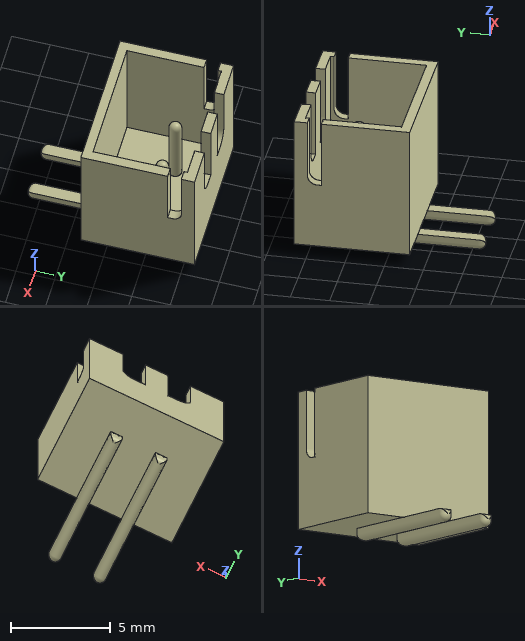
import cadquery as cq

housing_width = 7.5
housing_depth = 5.9
housing_height = 6.99
wall = 0.5
slot_depth = housing_height / 2
slot_floor_z = housing_height - slot_depth

side_slot_width = 0.71
side_slot_radius = 0.5
side_slot_setback = 0.69

tongue_width = 1.26
back_slot_width = 1.25
back_slot_radius = 0.735

pin_diameter = 0.65
pin_radius = pin_diameter / 2
pin_pitch = 2.49
pin_y = housing_depth - 2.34
pin_dome_center_z = 4.185
leg_axis_z = -pin_radius
pin_tip_y = housing_depth - 9.3
tip_center_y = pin_tip_y + pin_radius


def box_between(low, high):
    """Axis-aligned box between two opposite corners."""
    size = [b - a for a, b in zip(low, high)]
    return cq.Workplane("XY").box(*size, centered=False).translate(low)


def slot_profile(plane, sharp_edge, rounded_edge, radius):
    """Open-topped slot outline with one sharp and one rounded bottom corner."""
    outward = 1 if rounded_edge > sharp_edge else -1
    arc_start = rounded_edge - outward * radius
    return (
        cq.Workplane(plane)
        .moveTo(sharp_edge, housing_height)
        .lineTo(sharp_edge, slot_floor_z)
        .lineTo(arc_start, slot_floor_z)
        .radiusArc((rounded_edge, slot_floor_z + radius), -outward * radius)
        .lineTo(rounded_edge, housing_height)
        .close()
    )


def make_side_slots():
    """One cut across the full width that opens both side walls."""
    back_edge = housing_depth - side_slot_setback
    front_edge = back_edge - side_slot_width
    profile = slot_profile("YZ", front_edge, back_edge, side_slot_radius)
    return profile.extrude(housing_width / 2, both=True)


def make_back_slot(side):
    """Slot through the back wall; side is -1 or 1 along X."""
    inner_edge = side * tongue_width / 2
    outer_edge = inner_edge + side * back_slot_width
    profile = slot_profile("XZ", inner_edge, outer_edge, back_slot_radius)
    return profile.extrude(wall).translate((0, housing_depth, 0))


def make_pin(x):
    """Round upright post joined to a U-section leg with rounded heel and tip."""
    post = cq.Workplane("XY", origin=(x, pin_y, 0)).circle(pin_radius)
    post = post.extrude(pin_dome_center_z)
    dome = cq.Workplane("XY").sphere(pin_radius).translate((x, pin_y, pin_dome_center_z))

    heel_y = pin_y + pin_radius
    leg = cq.Workplane("XZ", origin=(x, heel_y, leg_axis_z)).circle(pin_radius)
    leg = leg.extrude(heel_y - tip_center_y)
    leg_top = box_between(
        (x - pin_radius, tip_center_y, leg_axis_z),
        (x + pin_radius, heel_y, 0),
    )
    leg = leg.union(leg_top)

    heel_corner = box_between(
        (x - pin_radius, pin_y, -pin_diameter),
        (x + pin_radius, heel_y, leg_axis_z),
    )
    heel_round = cq.Workplane("YZ", origin=(x, pin_y, leg_axis_z)).circle(pin_radius)
    heel_round = heel_round.extrude(pin_radius, both=True)
    leg = leg.cut(heel_corner.cut(heel_round))

    tip_ball = cq.Workplane("XY").sphere(pin_radius).translate((x, tip_center_y, leg_axis_z))
    tip_box = box_between(
        (x - pin_radius, pin_tip_y, leg_axis_z),
        (x + pin_radius, tip_center_y, 0),
    )
    upright_round = cq.Workplane("XY", origin=(x, tip_center_y, leg_axis_z)).circle(pin_radius)
    upright_round = upright_round.extrude(pin_radius)
    cross_round = cq.Workplane("YZ", origin=(x, tip_center_y, leg_axis_z)).circle(pin_radius)
    cross_round = cross_round.extrude(pin_radius, both=True)
    tip_top = tip_box.intersect(upright_round).intersect(cross_round)

    pin = post.union(dome).union(leg)
    return pin.union(tip_ball).union(tip_top)


def make_housing(pins):
    """Box with cavity, slots and a matching floor hole for each pin."""
    housing = box_between(
        (-housing_width / 2, 0, 0),
        (housing_width / 2, housing_depth, housing_height),
    )
    cavity = box_between(
        (wall - housing_width / 2, wall, wall),
        (housing_width / 2 - wall, housing_depth - wall, housing_height),
    )
    housing = housing.cut(cavity).cut(make_side_slots())
    for side in (-1, 1):
        housing = housing.cut(make_back_slot(side))
    for pin in pins:
        housing = housing.cut(pin)
    return housing


pins = [make_pin(side * pin_pitch / 2) for side in (-1, 1)]
housing = make_housing(pins)

result = cq.Compound.makeCompound([housing.solids().val(), *[pin.solids().val() for pin in pins]])